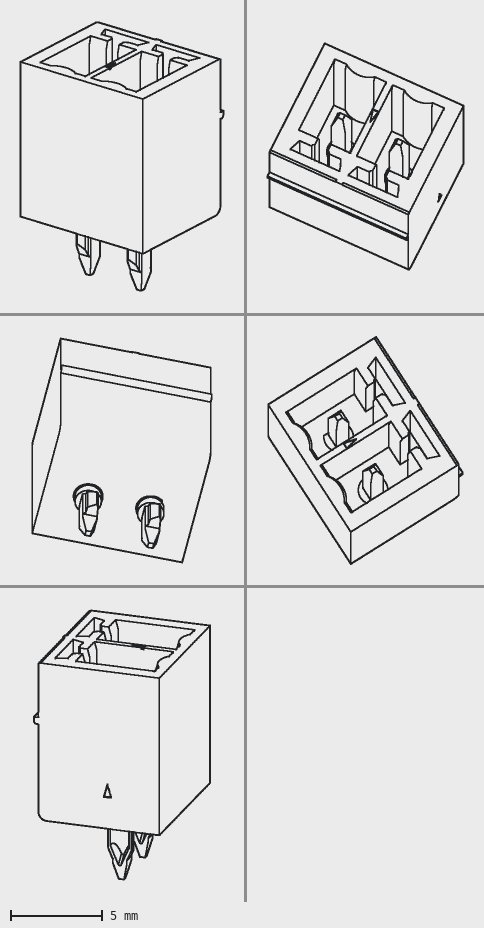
import cadquery as cq

total_height = 13.0
pole_pitch = 3.5
pole_positions = (-pole_pitch / 2, pole_pitch / 2)
marked_pole = pole_positions[0]

housing_width = 8.4
housing_height = 9.2
housing_front = -3.0
housing_back = 3.99
back_bottom_radius = 0.5
back_bevel_depth = 0.13
back_bevel_height = 0.05
bevel_gap_width = 0.4

ledge_projection = 0.26
ledge_height = 0.4
ledge_bottom = 5.6
ledge_radius = 0.18

floor_thickness = 2.21
pocket_width = 3.11
pocket_front = -2.28
pocket_back = 2.0
flare_width = 0.14
flare_height = 0.52
bump_half_width = 0.86
bump_rise = 0.29

keyway_front = 2.69
keyway_back = 3.35
keyway_front_width = 2.5
keyway_back_width = 2.99
keyway_floor = 2.99
neck_width = 0.79
neck_corner_radius = 0.13

arrow_depth = 0.1
top_arrow_width = 0.34
top_arrow_base = -0.69
top_arrow_length = 0.73
side_arrow_width = 0.43
side_arrow_base = 1.83
side_arrow_length = 0.77

disc_diameter = 1.61
disc_flat_offset = 0.5
collar_diameter = 1.44
collar_height = 0.53

pin_size = 0.82
pin_tip_size = 0.3
contact_top = housing_height - 1.3
contact_tip_length = 1.0
solder_pin_bottom = housing_height - total_height
solder_tip_top = -2.78
taper_top = -1.83
taper_bottom = -2.56
wing_span = 1.45
wing_edge_span = 1.33
wing_edge_depth = 0.1
shoulder_x = 0.17
shoulder_span = 1.22
back_step_x = 0.25
back_step_span = 0.91
channel_half_width = 0.53
channel_depth = 0.53
groove_width = 0.15
groove_bottom = -2.94
groove_rise = 0.48


def make_shell():
    """Plain block with its rounded, bevelled and ledged back."""
    depth = housing_back - housing_front
    block = cq.Workplane("XY").box(housing_width, depth, housing_height, centered=(True, False, False))
    block = block.translate((0, housing_front, 0))
    block = block.edges(">Y and <Z").fillet(back_bottom_radius)

    bevel_length = (housing_width - bevel_gap_width) / 2
    for start in (-housing_width / 2, bevel_gap_width / 2):
        wedge = (
            cq.Workplane("YZ", origin=(start, housing_back, housing_height))
            .polyline([(0, 0), (-back_bevel_depth, 0), (0, -back_bevel_height)])
            .close()
            .extrude(bevel_length)
        )
        block = block.cut(wedge)

    ledge = cq.Workplane("XY").box(
        housing_width, ledge_projection, ledge_height, centered=(True, False, False)
    )
    ledge = ledge.edges(">Y and <Z").fillet(ledge_radius)
    return block.union(ledge.translate((0, housing_back, ledge_bottom)))


def pocket_outline(plane, front, back):
    """Rectangle whose front side bulges inward in an arc."""
    half_width = pocket_width / 2
    return (
        plane.moveTo(-half_width, back)
        .lineTo(-half_width, front)
        .lineTo(-bump_half_width, front)
        .threePointArc((0, front + bump_rise), (bump_half_width, front))
        .lineTo(half_width, front)
        .lineTo(half_width, back)
        .close()
    )


def make_pocket():
    """Space of one pole: pocket with a flared mouth, neck and keyway."""
    flare_bottom = housing_height - flare_height
    floor_plane = cq.Workplane("XY", origin=(0, 0, floor_thickness))
    well = pocket_outline(floor_plane, pocket_front, pocket_back).extrude(housing_height - floor_thickness)

    flare = pocket_outline(cq.Workplane("XY", origin=(0, 0, flare_bottom)), pocket_front, pocket_back)
    flare = pocket_outline(
        flare.workplane(offset=flare_height), pocket_front - flare_width, pocket_back + flare_width
    ).loft(ruled=True)

    neck_half = neck_width / 2
    neck_end_half = neck_half + neck_corner_radius
    round_start = keyway_front - neck_corner_radius
    neck = (
        floor_plane.moveTo(-neck_half, 0)
        .lineTo(neck_half, 0)
        .lineTo(neck_half, round_start)
        .radiusArc((neck_end_half, keyway_front), -neck_corner_radius)
        .lineTo(-neck_end_half, keyway_front)
        .radiusArc((-neck_half, round_start), -neck_corner_radius)
        .close()
        .extrude(housing_height - floor_thickness)
    )

    keyway = (
        cq.Workplane("XY", origin=(0, 0, keyway_floor))
        .polyline([
            (-keyway_front_width / 2, keyway_front),
            (keyway_front_width / 2, keyway_front),
            (keyway_back_width / 2, keyway_back),
            (-keyway_back_width / 2, keyway_back),
        ])
        .close()
        .extrude(housing_height - keyway_floor)
    )
    return well.union(flare).union(neck).union(keyway)


def make_arrow(plane, base, width, length):
    """Triangular cutter that sinks from the given plane against its normal."""
    return (
        plane.polyline([(-width / 2, base), (width / 2, base), (0, base + length)])
        .close()
        .extrude(-arrow_depth)
    )


def make_housing():
    body = make_shell()
    for x in pole_positions:
        body = body.cut(make_pocket().translate((x, 0, 0)))
        body = body.cut(make_disc_blank(x))
    top_face = cq.Workplane("XY", origin=(0, 0, housing_height))
    body = body.cut(make_arrow(top_face, top_arrow_base, top_arrow_width, top_arrow_length))
    side_face = cq.Workplane(cq.Plane(origin=(-housing_width / 2, 0, 0), xDir=(0, -1, 0), normal=(-1, 0, 0)))
    return body.cut(make_arrow(side_face, side_arrow_base, side_arrow_width, side_arrow_length))


def make_disc_blank(x):
    """Disc without its pin hole; the marked pole has a flat on its -X side."""
    blank = cq.Workplane("XY").circle(disc_diameter / 2).extrude(floor_thickness)
    if x == marked_pole:
        keeper = cq.Workplane("XY").box(
            disc_diameter, disc_diameter, floor_thickness, centered=(False, True, False)
        )
        blank = blank.intersect(keeper.translate((-disc_flat_offset, 0, 0)))
    return blank.translate((x, 0, 0))


def make_floor_disc(x):
    return make_disc_blank(x).cut(make_contact_pin(x))


def make_pin_tip(base_z, tip_z):
    """Square pyramid frustum that narrows from the pin size to the tip size."""
    return (
        cq.Workplane("XY", origin=(0, 0, base_z))
        .rect(pin_size, pin_size)
        .workplane(offset=tip_z - base_z)
        .rect(pin_tip_size, pin_tip_size)
        .loft(ruled=True)
    )


def make_contact_pin(x):
    """Square pin that stands on the collar and passes through the floor disc."""
    tip_base = contact_top - contact_tip_length
    shank = cq.Workplane("XY").rect(pin_size, pin_size).extrude(tip_base)
    return shank.union(make_pin_tip(tip_base, contact_top)).translate((x, 0, 0))


def make_collar(x):
    return cq.Workplane("XY", origin=(x, 0, 0)).circle(collar_diameter / 2).extrude(-collar_height)


def make_channel():
    """Round channel open to -X, ending below in a V that runs out toward -X."""
    open_x = -pin_size / 2
    trough = (
        cq.Workplane("XY", origin=(0, 0, -collar_height))
        .moveTo(open_x, -channel_half_width)
        .threePointArc((open_x + channel_depth, 0), (open_x, channel_half_width))
        .close()
        .extrude(groove_bottom + collar_height)
    )

    wing_slope = (taper_top - taper_bottom) / ((wing_span - pin_size) / 2)
    groove_half = groove_width / 2
    vee_height = (wing_span / 2 - groove_half) * wing_slope
    groove_top = groove_bottom + groove_half
    vee_outline = (
        cq.Workplane("YZ", origin=(open_x, 0, 0))
        .moveTo(-groove_half, groove_top)
        .threePointArc((0, groove_bottom), (groove_half, groove_top))
        .lineTo(wing_span / 2, groove_top + vee_height)
        .lineTo(wing_span / 2, 0)
        .lineTo(-wing_span / 2, 0)
        .lineTo(-wing_span / 2, groove_top + vee_height)
        .close()
    )
    run_out = cq.Vector(channel_depth, 0, groove_rise)
    vee = cq.Solid.extrudeLinear(vee_outline.wires().val(), [], run_out)
    return trough.intersect(cq.Workplane(vee))


def make_solder_pin(x):
    """Winged pin under the collar, with tapered wings, a channel and a square tip."""
    open_x = -pin_size / 2
    near_side = [
        (open_x, -wing_edge_span / 2),
        (open_x + wing_edge_depth, -wing_span / 2),
        (shoulder_x, -shoulder_span / 2),
        (back_step_x, -back_step_span / 2),
        (pin_size / 2, -pin_size / 2),
    ]
    far_side = [(px, -py) for px, py in reversed(near_side)]
    wings = (
        cq.Workplane("XY", origin=(0, 0, -collar_height))
        .polyline(near_side + far_side)
        .close()
        .extrude(solder_tip_top + collar_height)
    )
    taper = (
        cq.Workplane("YZ")
        .polyline([
            (-wing_span / 2, 0),
            (-wing_span / 2, taper_top),
            (-pin_size / 2, taper_bottom),
            (-pin_size / 2, solder_tip_top),
            (pin_size / 2, solder_tip_top),
            (pin_size / 2, taper_bottom),
            (wing_span / 2, taper_top),
            (wing_span / 2, 0),
        ])
        .close()
        .extrude(pin_size / 2, both=True)
    )
    pin = wings.intersect(taper).union(make_pin_tip(solder_tip_top, solder_pin_bottom))
    return pin.cut(make_channel()).translate((x, 0, 0))


housing = make_housing()
bodies = [housing.val()]
for pole_x in pole_positions:
    for make_body in (make_floor_disc, make_contact_pin, make_collar, make_solder_pin):
        bodies.append(make_body(pole_x).val())

result = cq.Compound.makeCompound(bodies)